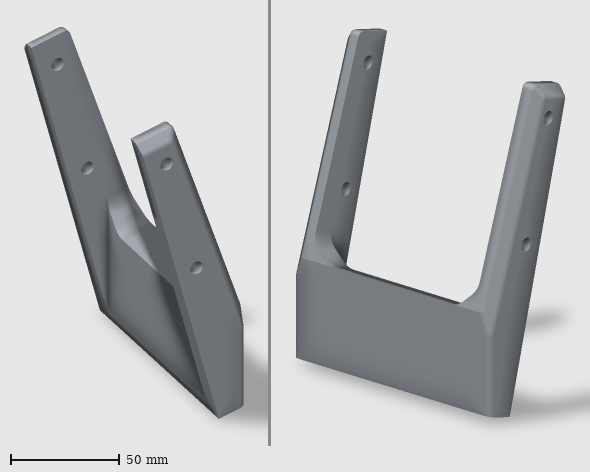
import cadquery as cq
import math

width = 120.0
depth = 54.7
arm_thickness = 10.0
lean = math.radians(15)
back_lean = math.radians(19)
front_length = 157.0
bend_height = 54.0
plate_thickness = 15.0
plate_height = 53.7
throat_chamfer = 10.0
throat_radius = 10.0
edge_chamfer = 5.0
edge_radius = 3.0
tolerance = 0.02
hole_diameter = 6.5
hole_inset = 10.0
hole_spacing = 60.0
hole_end_distance = 15.0

inner_half = width / 2 - arm_thickness
foot_y = front_length * math.sin(lean)
tip_z = front_length * math.cos(lean)
heel_z = (depth - foot_y) * math.tan(lean)
tip_back_y = (
    (depth + (bend_height - tip_z) * math.tan(back_lean))
    / (1 + math.tan(lean) * math.tan(back_lean))
)
tip_back_z = tip_z + tip_back_y * math.tan(lean)
back_mid = ((depth + tip_back_y) / 2, (bend_height + tip_back_z) / 2)
end_mid = (tip_back_y / 2, (tip_z + tip_back_z) / 2)


def make_blank():
    """Full-width block with the side profile of the arms."""
    profile = [
        (foot_y, 0),
        (depth, heel_z),
        (depth, bend_height),
        (tip_back_y, tip_back_z),
        (0, tip_z),
    ]
    return cq.Workplane("YZ").polyline(profile).close().extrude(width / 2, both=True)


def nearest_edges(body, points):
    """Edges of the body nearest to the given points."""
    edges = body.newObject([])
    for point in points:
        edges = edges.add(body.edges(cq.selectors.NearestToPointSelector(point)))
    return edges


def soften_edges(body):
    """Chamfer the upper outer edges, then round the back and end edges."""
    chamfered = [
        (side * width / 2, y, z)
        for side in (-1, 1)
        for y, z in (back_mid, end_mid)
    ]
    body = nearest_edges(body, chamfered).chamfer(edge_chamfer)
    rounded = []
    for edge in body.edges().vals():
        center = edge.Center()
        outside = abs(center.x) > inner_half
        front_distance = (center.y - foot_y) * math.cos(lean) + center.z * math.sin(lean)
        base_distance = center.z * math.cos(lean) - (center.y - foot_y) * math.sin(lean)
        on_front = front_distance < tolerance
        on_base = base_distance < tolerance
        at_tip = abs(center.x) < tolerance and center.z > tip_z
        if (outside or at_tip) and not on_front and not on_base:
            rounded.append(edge)
    return body.newObject(rounded).fillet(edge_radius)


def make_throat():
    """Opening between the arms, cut square to the upper back face."""
    plane = cq.Plane(
        origin=(0, depth, plate_height),
        xDir=(-1, 0, 0),
        normal=(0, math.cos(back_lean), math.sin(back_lean)),
    )
    cut_height = 2 * front_length
    outline = (
        cq.Sketch()
        .polygon([
            (-inner_half, cut_height),
            (-inner_half, throat_chamfer),
            (throat_chamfer - inner_half, 0),
            (inner_half - throat_chamfer, 0),
            (inner_half, throat_chamfer),
            (inner_half, cut_height),
            (-inner_half, cut_height),
        ])
        .vertices()
        .fillet(throat_radius)
    )
    return cq.Workplane(plane).placeSketch(outline).extrude(width, both=True)


def make_front_recess():
    """Space ahead of the vertical front face of the cross plate."""
    return (
        cq.Workplane("XY")
        .box(2 * inner_half, depth, 2 * front_length, centered=(True, False, False))
        .translate((0, -plate_thickness, 0))
    )


def make_holes():
    """Cross holes through both arms, in line with the front face."""
    centers = []
    for drop in (0, hole_spacing):
        along = front_length - hole_end_distance - drop
        y = foot_y - along * math.sin(lean) + hole_inset * math.cos(lean)
        z = along * math.cos(lean) + hole_inset * math.sin(lean)
        centers.append((y, z))
    return (
        cq.Workplane("YZ").pushPoints(centers).circle(hole_diameter / 2).extrude(width, both=True)
    )


result = soften_edges(make_blank())
result = result.cut(make_throat()).cut(make_front_recess()).cut(make_holes())